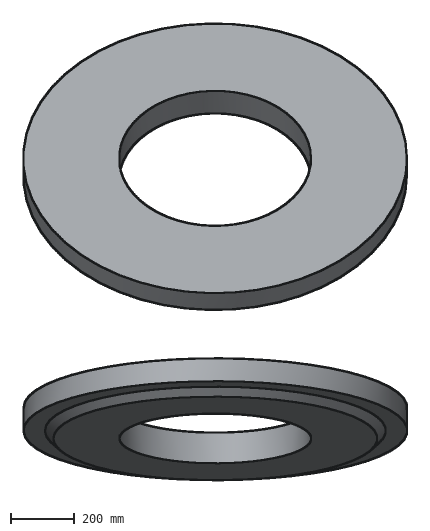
import cadquery as cq

outer_diameter = 1200.0
bore_diameter = 600.0
total_height = 100.0

step_height = 25.0
step_top_diameter = 1065.0
step_bottom_diameter = 1013.0

outer_radius = outer_diameter / 2
bore_radius = bore_diameter / 2
step_top_radius = step_top_diameter / 2
step_bottom_radius = step_bottom_diameter / 2

cross_section = [
    (bore_radius, 0),
    (step_bottom_radius, 0),
    (step_top_radius, step_height),
    (outer_radius, step_height),
    (outer_radius, total_height),
    (bore_radius, total_height),
]

result = (
    cq.Workplane("XZ")
    .polyline(cross_section)
    .close()
    .revolve(360, (0, 0, 0), (0, 1, 0))
)